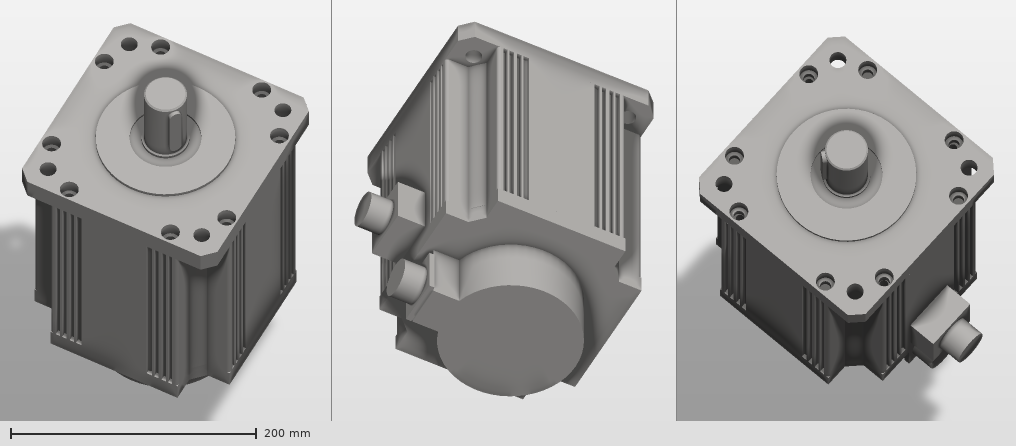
import cadquery as cq
import math


encoder_height = 50.7
rear_plate_thickness = 16.0
stator_height = 177.0
flange_thickness = 19.0
pilot_height = 3.0
total_height = 327.0

rear_plate_z = encoder_height
stator_z = rear_plate_z + rear_plate_thickness
flange_z = stator_z + stator_height
flange_top_z = flange_z + flange_thickness
pilot_top_z = flange_top_z + pilot_height

width = 180.0
half_width = width / 2

flange_chamfer = 10.0
pilot_diameter = 113.8
mount_hole_diameter = 13.7
mount_circle_radius = 100.0
bolt_hole_diameter = 9.0
bolt_head_diameter = 15.5
bolt_head_depth = 12.0
bolt_circle_radius = 93.0
bolt_angles = (60.3, 120.3)
seal_recess_diameter = 58.5
seal_recess_depth = 2.0
seal_recess_floor_z = pilot_top_z - seal_recess_depth

side_half_length = 58.5
notch_inner = 69.3
stator_tip_fillet = 3.0
groove_depth = 4.3
groove_width = 4.0
groove_starts = (37.0, 43.8, 49.7)
panel_half_width = 30.0
panel_groove_outer = 35.0
panel_groove_inner_depth = 3.0
tapped_hole_diameter = 7.0
tapped_hole_depth = 15.0
tapped_circle_radius = 92.0
tapped_angle = bolt_angles[0]

encoder_diameter = 119.7
encoder_box_width = 37.3
encoder_box_end_y = 80.5

shaft_diameter = 35.0
shaft_chamfer = 1.3
collar_diameter = 39.0
collar_rise = 0.5
collar_top_z = pilot_top_z + collar_rise
key_angle = -38.0
key_width = 10.0
key_floor_radius = 12.5
key_top_radius = 20.5
key_bottom_z = 273.7
key_top_z = 324.0

power_x = 1.3
power_z = 93.2
power_box_width = 45.8
power_box_height = 42.2
power_box_length = 25.0
power_plug_diameter = 30.0
power_plug_length = 20.3
signal_z = 22.5
signal_flange_width = 41.0
signal_flange_thickness = 5.0
signal_plug_diameter = 32.7
signal_plug_length = 20.0


def polar(radius, angle):
    """Point at a radius and an angle in degrees from +X."""
    return (radius * math.cos(math.radians(angle)), radius * math.sin(math.radians(angle)))


def four_sides(angles):
    """The given angles repeated every quarter turn."""
    return [angle + 90 * turn for turn in range(4) for angle in angles]


def plane_facing_y(y_start, x, z):
    """Workplane at y_start, centred at x and z; negative extrusions grow in +Y."""
    return cq.Workplane("XZ", origin=(x, y_start, z))


def notched_square(z, height, round_notches):
    """Square bar with corner notches whose bottoms are flat or arcs around the axis."""
    notch_radius = math.hypot(side_half_length, notch_inner)
    notch_half_angle = math.degrees(math.atan2(notch_inner, side_half_length)) - 45
    tip_radius = math.hypot(side_half_length, half_width)
    tip_half_angle = math.degrees(math.atan2(half_width, side_half_length)) - 45
    profile = cq.Workplane("XY").workplane(offset=z).moveTo(-side_half_length, -half_width)
    for corner in four_sides([-45]):
        profile = profile.lineTo(*polar(tip_radius, corner - tip_half_angle))
        profile = profile.lineTo(*polar(notch_radius, corner - notch_half_angle))
        notch_end = polar(notch_radius, corner + notch_half_angle)
        if round_notches:
            profile = profile.threePointArc(polar(notch_radius, corner), notch_end)
        else:
            profile = profile.lineTo(*notch_end)
        profile = profile.lineTo(*polar(tip_radius, corner + tip_half_angle))
    return profile.close().extrude(height)


def make_flange():
    flange = (
        cq.Workplane("XY").workplane(offset=flange_z)
        .rect(width, width).extrude(flange_thickness)
        .edges("|Z").chamfer(flange_chamfer)
    )
    seal_recess = (
        cq.Workplane("XY").workplane(offset=seal_recess_floor_z)
        .circle(seal_recess_diameter / 2).extrude(seal_recess_depth)
    )
    mount_points = [polar(mount_circle_radius, angle) for angle in four_sides([45])]
    bolt_points = [polar(bolt_circle_radius, angle) for angle in four_sides(bolt_angles)]
    top = cq.Workplane("XY").workplane(offset=flange_top_z)
    pilot = top.circle(pilot_diameter / 2).extrude(pilot_height)
    mount_holes = top.pushPoints(mount_points).circle(mount_hole_diameter / 2).extrude(-flange_thickness)
    bolt_holes = top.pushPoints(bolt_points).circle(bolt_hole_diameter / 2).extrude(-flange_thickness)
    bolt_heads = top.pushPoints(bolt_points).circle(bolt_head_diameter / 2).extrude(-bolt_head_depth)
    return flange.union(pilot).cut(seal_recess).cut(mount_holes).cut(bolt_holes).cut(bolt_heads)


def stator_side_grooves():
    """Cooling grooves of the -Y side: mirrored groups on both sides of the flat centre panel."""
    floor_y = -half_width + groove_depth
    sketch = cq.Workplane("XY").workplane(offset=stator_z)
    grooves = (
        sketch.moveTo(panel_half_width, -half_width)
        .lineTo(panel_groove_outer, -half_width)
        .lineTo(panel_groove_outer, floor_y)
        .lineTo(panel_half_width, -half_width + panel_groove_inner_depth)
        .close().extrude(stator_height)
    )
    for start in groove_starts:
        grooves = grooves.add(
            sketch.center(start + groove_width / 2, floor_y - groove_depth / 2)
            .rect(groove_width, groove_depth).extrude(stator_height)
        )
    return grooves.add(grooves.mirror("YZ")).combine()


def make_stator():
    """Stator housing with round tips, grooved sides and a tapped hole under one bolt of each pair."""
    stator = notched_square(stator_z, stator_height, round_notches=True)
    tip_radius = math.hypot(side_half_length, half_width)
    tip_angle = math.degrees(math.atan2(half_width, side_half_length))
    for angle in four_sides([tip_angle, 180 - tip_angle]):
        tip = (*polar(tip_radius, angle), stator_z + stator_height / 2)
        stator = stator.edges(cq.selectors.NearestToPointSelector(tip)).fillet(stator_tip_fillet)
    grooves = stator_side_grooves()
    for turn in range(4):
        stator = stator.cut(grooves.rotate((0, 0, 0), (0, 0, 1), 90 * turn))
    tapped_points = [polar(tapped_circle_radius, angle) for angle in four_sides([tapped_angle])]
    tapped_holes = (
        cq.Workplane("XY").workplane(offset=flange_z)
        .pushPoints(tapped_points).circle(tapped_hole_diameter / 2).extrude(-tapped_hole_depth)
    )
    return stator.cut(tapped_holes)


def make_rear_plate():
    return notched_square(rear_plate_z, rear_plate_thickness, round_notches=False)


def make_encoder():
    drum = cq.Workplane("XY").circle(encoder_diameter / 2).extrude(encoder_height)
    connector_box = cq.Workplane("XY").box(
        encoder_box_width, encoder_box_end_y, encoder_height, centered=(True, False, False)
    )
    return drum.union(connector_box)


def make_key():
    """Parallel key with round ends, lying along the shaft."""
    length = key_top_z - key_bottom_z
    return (
        cq.Workplane("YZ", origin=(key_floor_radius, 0, (key_bottom_z + key_top_z) / 2))
        .slot2D(length, key_width, 90).extrude(key_top_radius - key_floor_radius)
        .rotate((0, 0, 0), (0, 0, 1), key_angle)
    )


def make_shaft():
    rod = (
        cq.Workplane("XY").workplane(offset=seal_recess_floor_z)
        .circle(shaft_diameter / 2).extrude(total_height - seal_recess_floor_z)
        .faces(">Z").chamfer(shaft_chamfer)
    )
    collar = (
        cq.Workplane("XY").workplane(offset=seal_recess_floor_z)
        .circle(collar_diameter / 2).extrude(collar_top_z - seal_recess_floor_z)
    )
    return rod.union(collar).cut(make_key())


def make_power_connector():
    box = (
        plane_facing_y(half_width, power_x, power_z)
        .rect(power_box_width, power_box_height).extrude(-power_box_length)
    )
    plug = (
        plane_facing_y(half_width + power_box_length, power_x, power_z)
        .circle(power_plug_diameter / 2).extrude(-power_plug_length)
    )
    return box.union(plug)


def make_signal_connector():
    plate = (
        plane_facing_y(encoder_box_end_y, 0, signal_z)
        .rect(signal_flange_width, signal_flange_width).extrude(-signal_flange_thickness)
    )
    plug = (
        plane_facing_y(encoder_box_end_y + signal_flange_thickness, 0, signal_z)
        .circle(signal_plug_diameter / 2).extrude(-signal_plug_length)
    )
    return plate.union(plug)


flange = make_flange()
stator = make_stator()
rear_plate = make_rear_plate()
encoder = make_encoder()
shaft = make_shaft()
key = make_key()
power_connector = make_power_connector()
signal_connector = make_signal_connector()

bodies = [flange, stator, rear_plate, encoder, shaft, key, power_connector, signal_connector]
result = cq.Compound.makeCompound([body.solids().val() for body in bodies])